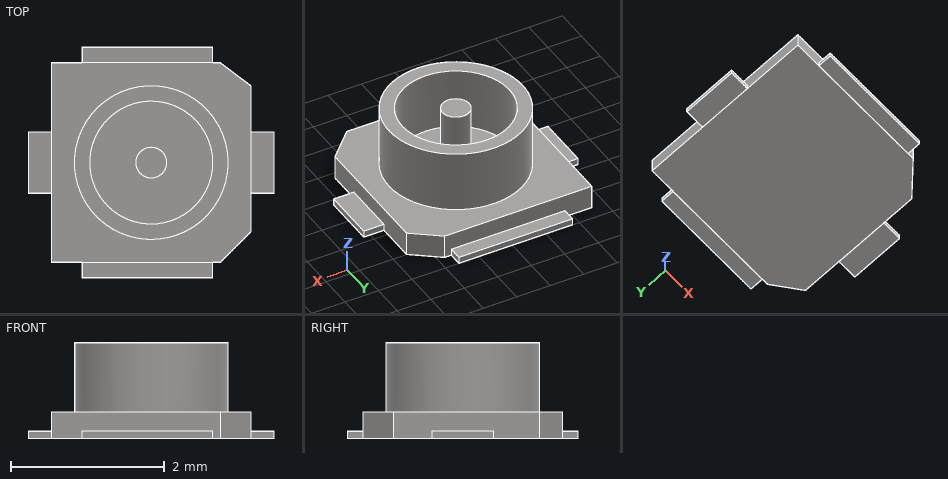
import cadquery as cq

overall_x = 3.2
overall_y = 3.0
overall_z = 1.25

base_side = 2.6
base_height = 0.35
corner_cut = 0.4
back_corner_cut_y = 0.3

ring_outer_diameter = 2.0
ring_inner_diameter = 1.6
pin_diameter = 0.4
contact_height = overall_z - base_height

tab_thickness = 0.1
signal_tab_width = 0.8
ground_tab_left = -0.9
ground_tab_right = 0.8

half_side = base_side / 2
signal_tab_length = (overall_x - base_side) / 2
ground_tab_length = (overall_y - base_side) / 2
ground_tab_width = ground_tab_right - ground_tab_left
ground_tab_centre_x = (ground_tab_left + ground_tab_right) / 2


def make_base():
    """Square plate with its two +X corners cut off."""
    outline = [
        (-half_side, -half_side),
        (half_side - corner_cut, -half_side),
        (half_side, -half_side + corner_cut),
        (half_side, half_side - back_corner_cut_y),
        (half_side - corner_cut, half_side),
        (-half_side, half_side),
    ]
    return cq.Workplane("XY").polyline(outline).close().extrude(base_height)


def make_ring():
    """Open shield ring on top of the base."""
    return (
        cq.Workplane("XY", origin=(0, 0, base_height))
        .circle(ring_outer_diameter / 2)
        .circle(ring_inner_diameter / 2)
        .extrude(contact_height)
    )


def make_pin():
    """Centre pin, level with the rim of the ring."""
    return (
        cq.Workplane("XY", origin=(0, 0, base_height))
        .circle(pin_diameter / 2)
        .extrude(contact_height)
    )


def make_signal_tab(side):
    """Tab on the -X (side = -1) or +X (side = 1) edge of the base."""
    centre_x = side * (half_side + signal_tab_length / 2)
    return (
        cq.Workplane("XY", origin=(centre_x, 0, 0))
        .rect(signal_tab_length, signal_tab_width)
        .extrude(tab_thickness)
    )


def make_ground_tab(side):
    """Wide tab on the -Y (side = -1) or +Y (side = 1) edge of the base."""
    centre_y = side * (half_side + ground_tab_length / 2)
    return (
        cq.Workplane("XY", origin=(ground_tab_centre_x, centre_y, 0))
        .rect(ground_tab_width, ground_tab_length)
        .extrude(tab_thickness)
    )


base = make_base()
ring = make_ring()
pin = make_pin()
signal_tabs = [make_signal_tab(side).val() for side in (-1, 1)]
ground_tabs = [make_ground_tab(side).val() for side in (-1, 1)]

result = cq.Compound.makeCompound(
    [base.val(), ring.val(), pin.val(), *signal_tabs, *ground_tabs]
)